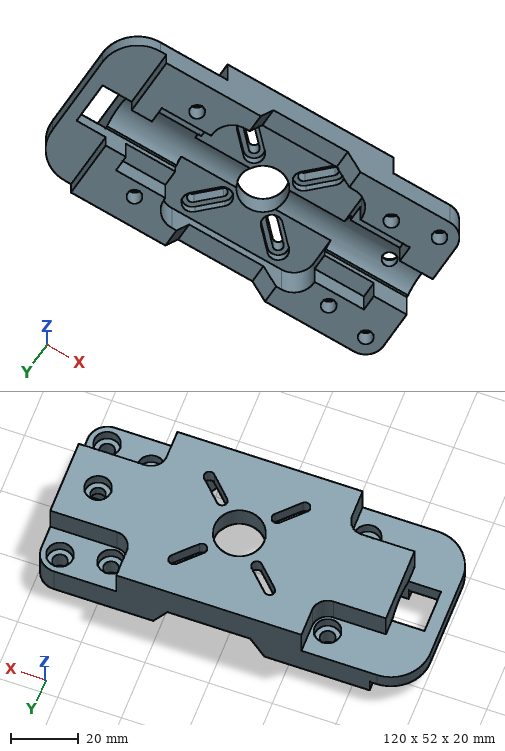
import cadquery as cq

length = 120.0
width = 52.0
height = 20.0

plate_top = 10.5
tab_length = 14.5
tab_bottom = 5.0
rear_corner_radius = 12.4
front_corner_radius = 6.2

center_x = 65.0
body_length = 58.2
neck_width = 24.2
screw_spacing_x = 68.0
screw_spacing_y = 34.1

relief_bottom_length = 34.9
relief_top_length = 26.0
relief_height = 7.9

channel_start = 4.3
channel_width = 14.2
arch_width = 12.7
channel_roof_height = 12.7

middle_hollow_length = 52.3
middle_hollow_width = 39.8
middle_hollow_roof = 12.0
middle_hollow_radius = 7.0
long_hollow_length = 86.9
long_hollow_width = 25.0

bore_diameter = 15.6
slot_count = 4
first_slot_angle = 45
slot_width = 3.2
slot_inner_radius = 12.2
slot_outer_radius = 21.2
slot_recess_width = 6.5
slot_recess_top = 15.0

screw_diameter = 4.7
head_diameter = 8.2
head_depth = 4.0
end_screw_x = 114.0
end_screw_spacing_y = 40.1
neck_screw_x = 109.5


def box(x_start, x_end, y_size, z_start, z_end):
    """Block symmetric about Y = 0, between the given X and Z limits."""
    return (
        cq.Workplane("XY", origin=((x_start + x_end) / 2, 0, z_start))
        .rect(x_end - x_start, y_size)
        .extrude(z_end - z_start)
    )


def make_plate():
    plate = box(0, length, width, 0, plate_top)
    plate = plate.edges("|Z and <X").fillet(rear_corner_radius)
    plate = plate.edges("|Z and >X").fillet(front_corner_radius)
    return plate.cut(box(0, tab_length, width, 0, tab_bottom))


def make_raised_body():
    """Cross-shaped body whose inner corners are rounded around the screws."""
    body_start = center_x - body_length / 2
    body_end = center_x + body_length / 2
    corner_radius = (screw_spacing_y - neck_width) / 2
    neck = box(tab_length, length, neck_width, plate_top, height)
    body = box(body_start, body_end, width, plate_top, height).union(neck)
    inner_corners = cq.selectors.BoxSelector(
        (body_start - corner_radius, -neck_width / 2 - corner_radius, plate_top),
        (body_end + corner_radius, neck_width / 2 + corner_radius, height),
    )
    return body.edges("|Z").edges(inner_corners).fillet(corner_radius)


def make_relief():
    return (
        cq.Workplane("XZ", origin=(center_x, 0, 0))
        .moveTo(-relief_bottom_length / 2, 0)
        .lineTo(-relief_top_length / 2, relief_height)
        .lineTo(relief_top_length / 2, relief_height)
        .lineTo(relief_bottom_length / 2, 0)
        .close()
        .extrude(width / 2, both=True)
    )


def make_channel():
    half_arch = arch_width / 2
    arch = (
        cq.Workplane("YZ", origin=(channel_start, 0, plate_top))
        .moveTo(-half_arch, 0)
        .threePointArc((0, channel_roof_height - plate_top), (half_arch, 0))
        .close()
        .extrude(length - channel_start)
    )
    return box(channel_start, length, channel_width, 0, plate_top).union(arch)


def make_hollow():
    def centered_box(x_size, y_size, roof):
        return box(center_x - x_size / 2, center_x + x_size / 2, y_size, 0, roof)

    middle = centered_box(middle_hollow_length, middle_hollow_width, middle_hollow_roof)
    middle = middle.edges("|Z").fillet(middle_hollow_radius)
    return middle.union(centered_box(long_hollow_length, long_hollow_width, relief_height))


def make_diagonal_slots(slot_size, bottom, top):
    """Four slots pointing away from the bore axis."""
    slot_spread = slot_outer_radius - slot_inner_radius
    slot_middle = (slot_inner_radius + slot_outer_radius) / 2
    return (
        cq.Workplane("XY", origin=(center_x, 0, bottom))
        .polarArray(slot_middle, first_slot_angle, 360, slot_count)
        .slot2D(slot_spread + slot_size, slot_size)
        .extrude(top - bottom)
    )


def make_bore():
    return cq.Workplane("XY", origin=(center_x, 0, 0)).circle(bore_diameter / 2).extrude(height)


def make_screw_holes(positions, top):
    """Through holes with head recesses sunk from the given top level."""
    holes = cq.Workplane("XY").pushPoints(positions).circle(screw_diameter / 2).extrude(top)
    recesses = (
        cq.Workplane("XY", origin=(0, 0, top - head_depth))
        .pushPoints(positions)
        .circle(head_diameter / 2)
        .extrude(head_depth)
    )
    return holes.union(recesses)


plate_screws = []
for side in (-1, 1):
    plate_screws.append((center_x - screw_spacing_x / 2, side * screw_spacing_y / 2))
    plate_screws.append((center_x + screw_spacing_x / 2, side * screw_spacing_y / 2))
    plate_screws.append((end_screw_x, side * end_screw_spacing_y / 2))

result = (
    make_plate()
    .union(make_raised_body())
    .cut(make_relief())
    .cut(make_channel())
    .cut(make_hollow())
    .cut(make_bore())
    .cut(make_diagonal_slots(slot_width, 0, height))
    .cut(make_diagonal_slots(slot_recess_width, middle_hollow_roof, slot_recess_top))
    .cut(make_screw_holes(plate_screws, plate_top))
    .cut(make_screw_holes([(neck_screw_x, 0)], height))
)